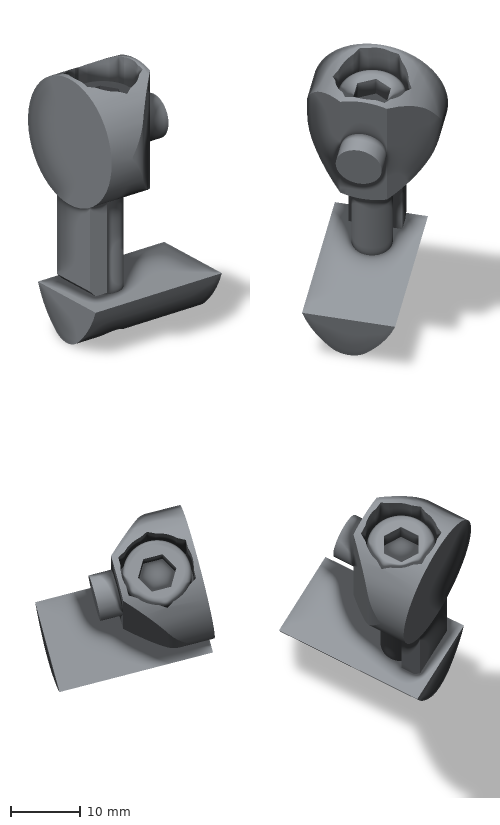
import cadquery as cq
import math

total_height = 41.8

drum_diameter = 20.0
drum_depth = 12.0
drum_radius = drum_diameter / 2
drum_center_z = total_height - drum_radius
drum_front_y = -drum_depth / 2
drum_back_y = drum_depth / 2
bevel_angle = math.radians(45)
bevel_blend_radius = 4.0
bevel_start = 3.8
pin_diameter = 6.8
pin_length = 3.4

key_width = 8.0
key_thickness = 3.05
key_setback = 0.65
key_bottom_z = 8.25
key_chamfer = 1.0

shank_diameter = 6.0
shank_length = 30.0
clearance_diameter = 6.2
head_diameter = 10.0
head_height = 6.0
head_fillet = 0.6
socket_across_flats = 4.97
socket_depth = 3.0
socket_turn = 30
seat_z = drum_center_z
recess_across_flats = 10.1
recess_diameter = 10.6

bar_width = 13.8
bar_length = 23.0
bar_height = 7.27
bar_front_overhang = 0.55
bar_nose_radius = 4.0
bar_flank_radius = 15.0


def cylinder_z(diameter, bottom_z, height):
    return cq.Workplane("XY", origin=(0, 0, bottom_z)).circle(diameter / 2).extrude(height)


def cylinder_y(diameter, front_y, length):
    plane = cq.Workplane("XZ", origin=(0, front_y, drum_center_z))
    return plane.circle(diameter / 2).extrude(-length)


def hexagon_z(across_flats, bottom_z, height):
    """Hexagonal prism with two corners on the X axis."""
    across_corners = across_flats / math.cos(math.pi / 6)
    return cq.Workplane("XY", origin=(0, 0, bottom_z)).polygon(6, across_corners).extrude(height)


def make_drum():
    """Cylinder trimmed by a plan outline with blended bevels on both sides."""
    blend_start_y = drum_front_y + bevel_start
    blend_center_x = drum_radius - bevel_blend_radius

    def blend_point(angle):
        x = blend_center_x + bevel_blend_radius * math.cos(angle)
        y = blend_start_y + bevel_blend_radius * math.sin(angle)
        return x, y

    mid_x, mid_y = blend_point(bevel_angle / 2)
    end_x, end_y = blend_point(bevel_angle)
    back_half_width = end_x - (drum_back_y - end_y) / math.tan(bevel_angle)

    plan = (
        cq.Workplane("XY", origin=(0, 0, drum_center_z - drum_radius))
        .moveTo(-drum_radius, drum_front_y)
        .lineTo(drum_radius, drum_front_y)
        .lineTo(drum_radius, blend_start_y)
        .threePointArc((mid_x, mid_y), (end_x, end_y))
        .lineTo(back_half_width, drum_back_y)
        .lineTo(-back_half_width, drum_back_y)
        .lineTo(-end_x, end_y)
        .threePointArc((-mid_x, mid_y), (-drum_radius, blend_start_y))
        .close()
        .extrude(drum_diameter)
    )
    return cylinder_y(drum_diameter, drum_front_y, drum_depth).intersect(plan)


def make_key():
    """Rectangular bar running up into the drum, chamfered at its lower front edge."""
    return (
        cq.Workplane("XY")
        .box(key_width, key_thickness, drum_center_z - key_bottom_z, centered=(True, False, False))
        .translate((0, drum_front_y + key_setback, key_bottom_z))
        .edges("<Y and <Z")
        .chamfer(key_chamfer)
    )


def make_housing():
    recess_height = total_height - seat_z
    body = make_drum().union(make_key())
    body = body.union(cylinder_y(pin_diameter, drum_back_y, pin_length))
    body = body.cut(cylinder_z(recess_diameter, seat_z, recess_height))
    body = body.cut(hexagon_z(recess_across_flats, seat_z, recess_height))
    return body.cut(cylinder_z(clearance_diameter, 0, total_height))


def make_nut_bar():
    """Bar along Y with a rounded nose running tangentially into curved flanks."""
    half_width = bar_width / 2

    center_distance = bar_flank_radius - bar_nose_radius
    rise = bar_height - bar_nose_radius
    corner_distance = math.hypot(half_width, rise)
    offset = (bar_flank_radius**2 - center_distance**2 - corner_distance**2) / (2 * center_distance)
    tangent_angle = math.atan2(rise, half_width) + math.asin(offset / corner_distance)

    flank_center_x = -center_distance * math.sin(tangent_angle)
    flank_center_z = bar_nose_radius + center_distance * math.cos(tangent_angle)
    corner_angle = math.atan2(half_width - flank_center_x, flank_center_z - bar_height)

    def flank_point(angle):
        x = flank_center_x + bar_flank_radius * math.sin(angle)
        z = flank_center_z - bar_flank_radius * math.cos(angle)
        return x, z

    mid_x, mid_z = flank_point((tangent_angle + corner_angle) / 2)
    nose_x, nose_z = flank_point(tangent_angle)
    front_y = drum_front_y - bar_front_overhang
    return (
        cq.Workplane("XZ", origin=(0, front_y, 0))
        .moveTo(-half_width, bar_height)
        .lineTo(half_width, bar_height)
        .threePointArc((mid_x, mid_z), (nose_x, nose_z))
        .threePointArc((0, 0), (-nose_x, nose_z))
        .threePointArc((-mid_x, mid_z), (-half_width, bar_height))
        .close()
        .extrude(-bar_length)
    )


def make_clamp_screw():
    """Socket-head screw made in one piece with the nut bar at its lower end."""
    shank_end_z = seat_z - shank_length
    head_top_z = seat_z + head_height
    head = cylinder_z(head_diameter, seat_z, head_height).faces(">Z").edges().fillet(head_fillet)
    socket = hexagon_z(socket_across_flats, head_top_z - socket_depth, socket_depth)
    head = head.cut(socket.rotate((0, 0, 0), (0, 0, 1), socket_turn))
    bar = make_nut_bar().cut(cylinder_z(shank_diameter, 0, shank_end_z))
    return head.union(cylinder_z(shank_diameter, shank_end_z, shank_length)).union(bar)


housing = make_housing()
clamp_screw = make_clamp_screw()

result = cq.Compound.makeCompound([housing.val(), clamp_screw.val()])